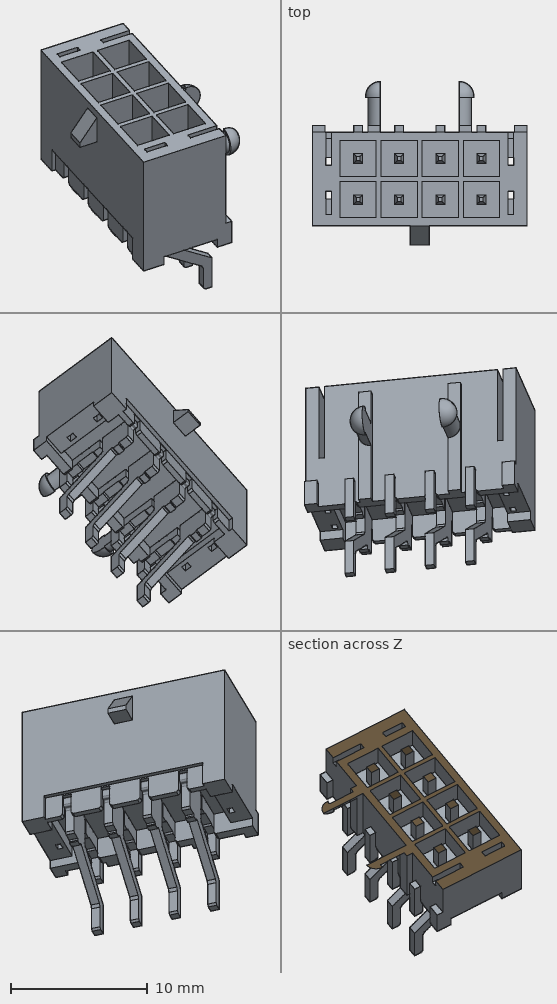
import cadquery as cq
import math


pitch = 3.0
columns = 4
column_xs = [(i - (columns - 1) / 2) * pitch for i in range(columns)]

housing_width = 15.7
housing_height = 9.9
back_y = -0.5
front_y = -7.35
housing_mid_y = (front_y + back_y) / 2
rear_row_y = housing_mid_y + pitch / 2
front_row_y = housing_mid_y - pitch / 2
contact_positions = [(x, y) for x in column_xs for y in (rear_row_y, front_row_y)]

cavity_size = 2.64
cavity_depth = 7.0

pocket_width = 12.3
pocket_ceiling_z = 1.8
pocket_back_y = -1.22
pocket_front_y = -6.62
side_notch_front_y = -5.64
side_notch_height = 0.7
front_recess_depth = 0.3
front_recess_height = 1.92
slot_lead_in = 0.17

foot_width = 0.94
foot_height = 1.93
rib_top_z = 8.87

peg_flat_x = 2.87
peg_z = 5.29
peg_radius = 0.92
peg_shank_length = 2.03
peg_head_radius = 1.1
peg_tip_y = 3.21

latch_width = 1.4
latch_reach = 1.4
latch_top_z = 9.28
latch_lip_top_z = 7.5
latch_bottom_z = 7.1

end_slot_x = 6.66
end_slot_width = 0.4
end_slot_opening = 0.54
end_slot_floor_z = 3.0
rear_slot_front_y = -2.9
rear_slot_step_y = -0.98
rear_slot_step_height = 1.0
front_slot_back_y = -4.83
front_slot_front_y = -6.52

pin_width = 0.66
pin_depth = 0.7
pin_top_z = 7.9
pin_tip_length = 0.6
pin_shaft_top_z = pin_top_z - pin_tip_length
pin_tip_inset = 0.21
shoulder_half = 1.39
shoulder_round = 0.1
tail_depth = 0.72
corner_chamfer = 0.15

rear_arm_bottom_z = 0.48
rear_relief_half = 0.78
rear_relief_depth = 0.13
rear_relief_run = 0.1
rear_tail_z = -1.38

lug_bottom_z = 1.16
lug_round = 0.15
plate_front_offset = 0.99
plate_bottom_z = -1.2
plate_step_y = -5.53
heel_bottom_z = -1.43
heel_back_y = -5.05
heel_back_run = 0.1
heel_back_rise = 0.2
heel_front_run = 0.06
heel_front_drop = 0.12
leg_angle = math.radians(33.3)
leg_top_z = -3.36
leg_bend_chamfer = 0.16
leg_thickness = 0.85
front_tail_z = -6.0


def box(x_range, y_range, z_range):
    """Box that spans the given X, Y and Z ranges."""
    (x0, x1), (y0, y1), (z0, z1) = x_range, y_range, z_range
    return cq.Workplane("XY").box(x1 - x0, y1 - y0, z1 - z0, centered=False).translate((x0, y0, z0))


def plate(profile, width):
    """Extrude a YZ profile to the given width, centred on X = 0."""
    return profile.close().extrude(width).translate((-width / 2, 0, 0))


def mirrored(body):
    """The body together with its mirror image across X = 0."""
    return body.union(body.mirror("YZ"))


def cavities():
    return (
        cq.Workplane("XY", origin=(0, 0, housing_height))
        .pushPoints(contact_positions)
        .rect(cavity_size, cavity_size)
        .extrude(-cavity_depth)
    )


def pin_holes():
    """Rectangular holes in the cavity floors that fit the contact pins."""
    return (
        cq.Workplane("XY")
        .pushPoints(contact_positions)
        .rect(pin_width, pin_depth)
        .extrude(housing_height)
    )


def underside_pocket():
    half = pocket_width / 2
    pocket = box((-half, half), (pocket_front_y, pocket_back_y), (0, pocket_ceiling_z))
    recess = box((-half, half), (front_y, front_y + front_recess_depth), (0, front_recess_height))
    outer = housing_width / 2
    notch = box((-outer, outer), (side_notch_front_y, pocket_back_y), (0, side_notch_height))
    return pocket.union(recess).union(notch)


def contact_slot(x):
    """Slot for one column of contacts through the front and back walls, with lead-in chamfers."""
    half = pin_width / 2
    return (
        cq.Workplane("XZ", origin=(x, back_y, 0))
        .moveTo(-half - slot_lead_in, 0)
        .lineTo(-half, slot_lead_in)
        .lineTo(-half, pocket_ceiling_z)
        .lineTo(half, pocket_ceiling_z)
        .lineTo(half, slot_lead_in)
        .lineTo(half + slot_lead_in, 0)
        .close()
        .extrude(back_y - front_y)
    )


def end_slots():
    """Slots beside the cavities, each with an opening through to the side notch."""
    x_range = (end_slot_x - end_slot_width / 2, end_slot_x + end_slot_width / 2)
    above_floor = (end_slot_floor_z, housing_height)
    full_height = (0, housing_height)
    step_z = end_slot_floor_z + rear_slot_step_height
    rear = box(x_range, (rear_slot_front_y, rear_slot_step_y), above_floor)
    rear_step = box(x_range, (rear_slot_step_y, back_y), (step_z, housing_height))
    rear_opening = box(x_range, (rear_slot_front_y, rear_slot_front_y + end_slot_opening), full_height)
    front = box(x_range, (front_slot_front_y, front_slot_back_y), above_floor)
    front_opening = box(x_range, (front_slot_back_y - end_slot_opening, front_slot_back_y), full_height)
    return mirrored(rear.union(rear_step).union(rear_opening).union(front).union(front_opening))


def feet():
    outer = housing_width / 2
    return mirrored(box((outer - foot_width, outer), (back_y, 0), (0, foot_height)))


def pegs():
    """Half-round pegs with domed heads, each on a rib of the back wall."""
    rib = box((peg_flat_x, peg_flat_x + peg_radius), (back_y, 0), (0, rib_top_z))
    head_centre_y = peg_tip_y - peg_head_radius
    head_base_radius = math.sqrt(peg_head_radius**2 - (head_centre_y - peg_shank_length) ** 2)
    profile = (
        cq.Workplane("YZ", origin=(peg_flat_x, 0, peg_z))
        .moveTo(back_y, 0)
        .lineTo(back_y, peg_radius)
        .lineTo(peg_shank_length, peg_radius)
        .lineTo(peg_shank_length, head_base_radius)
        .threePointArc((head_centre_y, peg_head_radius), (peg_tip_y, 0))
        .close()
    )
    peg = profile.revolve(180, (0, 0, 0), (1, 0, 0))
    return mirrored(rib.union(peg))


def latch():
    profile = (
        cq.Workplane("YZ")
        .moveTo(front_y, latch_top_z)
        .lineTo(front_y - latch_reach, latch_lip_top_z)
        .lineTo(front_y - latch_reach, latch_bottom_z)
        .lineTo(front_y, latch_bottom_z)
    )
    return plate(profile, latch_width)


def make_housing():
    half = housing_width / 2
    body = box((-half, half), (front_y, back_y), (0, housing_height))
    body = body.union(feet()).union(pegs()).union(latch())
    body = body.cut(cavities()).cut(underside_pocket()).cut(end_slots())
    for x in column_xs:
        body = body.cut(contact_slot(x))
    return body.cut(pin_holes())


def pin_tip(row_y):
    """Pyramid tip on top of an upright pin."""
    return (
        cq.Workplane("XY", origin=(0, row_y, pin_shaft_top_z))
        .rect(pin_width, pin_depth)
        .workplane(offset=pin_tip_length)
        .rect(pin_width - 2 * pin_tip_inset, pin_depth - 2 * pin_tip_inset)
        .loft(ruled=True)
    )


def make_rear_contact():
    y = rear_row_y
    shoulder_front_y = y - shoulder_half
    relief_z = rear_arm_bottom_z + rear_relief_depth
    flat_half = rear_relief_half - rear_relief_run
    profile = (
        cq.Workplane("YZ")
        .moveTo(0, pocket_ceiling_z)
        .lineTo(y + pin_depth / 2, pocket_ceiling_z)
        .lineTo(y + pin_depth / 2, pin_shaft_top_z)
        .lineTo(y - pin_depth / 2, pin_shaft_top_z)
        .lineTo(y - pin_depth / 2, pocket_ceiling_z)
        .lineTo(shoulder_front_y + shoulder_round, pocket_ceiling_z)
        .radiusArc((shoulder_front_y, pocket_ceiling_z - shoulder_round), -shoulder_round)
        .lineTo(shoulder_front_y, rear_arm_bottom_z)
        .lineTo(y - rear_relief_half, rear_arm_bottom_z)
        .lineTo(y - flat_half, relief_z)
        .lineTo(y + flat_half, relief_z)
        .lineTo(y + rear_relief_half, rear_arm_bottom_z)
        .lineTo(-tail_depth, rear_arm_bottom_z)
        .lineTo(-tail_depth, rear_tail_z + corner_chamfer)
        .lineTo(-tail_depth + corner_chamfer, rear_tail_z)
        .lineTo(0, rear_tail_z)
    )
    return plate(profile, pin_width).union(pin_tip(y))


def make_front_contact():
    y = front_row_y
    lug_y = y - shoulder_half
    plate_y = y - plate_front_offset
    plate_back_y = y + shoulder_half
    slope = math.tan(leg_angle)
    leg_drop = leg_thickness / math.cos(leg_angle)
    lower_bend_z = leg_top_z - leg_drop + slope * tail_depth
    upper_bend_z = leg_top_z - slope * plate_back_y
    leg_start_z = heel_bottom_z + heel_back_rise
    leg_start_y = (leg_top_z - leg_drop - leg_start_z) / slope
    profile = (
        cq.Workplane("YZ")
        .moveTo(plate_back_y, pocket_ceiling_z)
        .lineTo(y + pin_depth / 2, pocket_ceiling_z)
        .lineTo(y + pin_depth / 2, pin_shaft_top_z)
        .lineTo(y - pin_depth / 2, pin_shaft_top_z)
        .lineTo(y - pin_depth / 2, pocket_ceiling_z)
        .lineTo(lug_y + shoulder_round, pocket_ceiling_z)
        .radiusArc((lug_y, pocket_ceiling_z - shoulder_round), -shoulder_round)
        .lineTo(lug_y, lug_bottom_z)
        .radiusArc((lug_y + lug_round, lug_bottom_z - lug_round), -lug_round)
        .lineTo(plate_y - lug_round, lug_bottom_z - lug_round)
        .radiusArc((plate_y, lug_bottom_z - 2 * lug_round), lug_round)
        .lineTo(plate_y, plate_bottom_z + corner_chamfer)
        .lineTo(plate_y + corner_chamfer, plate_bottom_z)
        .lineTo(plate_step_y - heel_front_run, plate_bottom_z)
        .lineTo(plate_step_y, plate_bottom_z - heel_front_drop)
        .lineTo(plate_step_y, heel_bottom_z)
        .lineTo(heel_back_y, heel_bottom_z)
        .lineTo(heel_back_y + heel_back_run, leg_start_z)
        .lineTo(leg_start_y, leg_start_z)
        .lineTo(-tail_depth, lower_bend_z)
        .lineTo(-tail_depth, front_tail_z + corner_chamfer)
        .lineTo(-tail_depth + corner_chamfer, front_tail_z)
        .lineTo(0, front_tail_z)
        .lineTo(0, leg_top_z)
        .lineTo(plate_back_y, upper_bend_z)
    )
    body = plate(profile, pin_width)
    for bend in ((0, -tail_depth, lower_bend_z), (0, plate_back_y, upper_bend_z)):
        body = body.edges(cq.selectors.NearestToPointSelector(bend)).chamfer(leg_bend_chamfer)
    return body.union(pin_tip(y))


housing = make_housing()
contacts = []
for x in column_xs:
    contacts.append(make_rear_contact().translate((x, 0, 0)))
    contacts.append(make_front_contact().translate((x, 0, 0)))

contact_solids = [contact.solids().val() for contact in contacts]
result = cq.Compound.makeCompound([housing.solids().val(), *contact_solids])